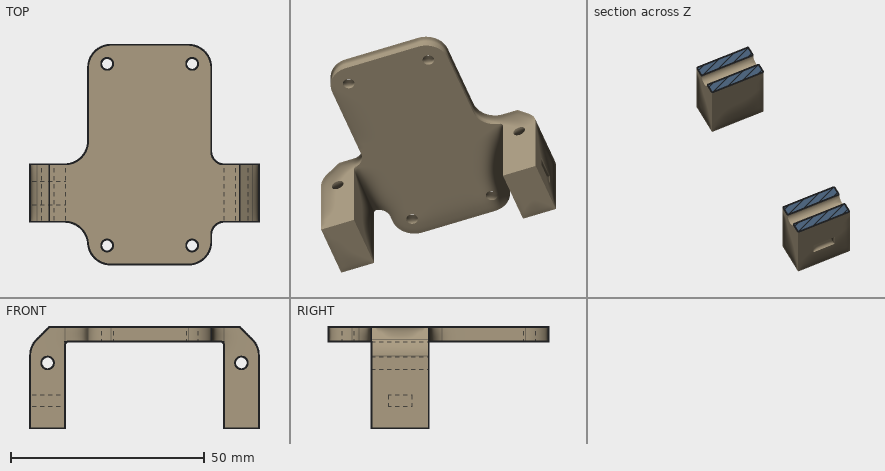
import cadquery as cq
import math

width = 59.3
length = 57.0
height = 26.25
plate_thickness = 3.8

plate_left = -14.65
plate_right = 17.3
corner_radius = 6.0
left_fillet_radius = 6.0
right_fillet_radius = 3.25

mount_hole_diameter = 3.0
mount_hole_inset = 5.0

leg_thickness = 9.1
arm_front = 11.1
arm_depth = 14.95
shoulder_inset = 5.0
shoulder_radius = 5.95
inner_fillet_radius = 0.95

pin_hole_diameter = 3.2
pin_hole_inset = 4.55
pin_hole_drop = 9.3
window_width = 6.05
window_height = 2.95
window_bottom = 5.7

half_width = width / 2
arm_back = arm_front + arm_depth
arm_middle = arm_front + arm_depth / 2
plate_bottom = height - plate_thickness


def make_bridge():
    """Two legs joined by a flat arm, with sloped and rounded outer shoulders."""
    slope_angle = math.radians(45)
    arc_rise = shoulder_radius * math.sin(slope_angle)
    arc_run = shoulder_radius - arc_rise
    slope_drop = shoulder_inset - arc_run
    arc_top = height - slope_drop
    arc_bottom = arc_top - arc_rise
    half_angle = slope_angle / 2
    arc_mid_x = half_width - shoulder_radius * (1 - math.cos(half_angle))
    arc_mid_z = arc_bottom + shoulder_radius * math.sin(half_angle)
    inner_x = half_width - leg_thickness

    profile = (
        cq.Workplane("XZ", origin=(0, arm_back, 0))
        .moveTo(-half_width, 0)
        .lineTo(-half_width, arc_bottom)
        .threePointArc((-arc_mid_x, arc_mid_z), (arc_run - half_width, arc_top))
        .lineTo(shoulder_inset - half_width, height)
        .lineTo(half_width - shoulder_inset, height)
        .lineTo(half_width - arc_run, arc_top)
        .threePointArc((arc_mid_x, arc_mid_z), (half_width, arc_bottom))
        .lineTo(half_width, 0)
        .lineTo(inner_x, 0)
        .lineTo(inner_x, plate_bottom)
        .lineTo(-inner_x, plate_bottom)
        .lineTo(-inner_x, 0)
        .close()
    )
    bridge = profile.extrude(arm_depth)
    margin = 0.6
    inner_corners = cq.selectors.BoxSelector(
        (-inner_x - margin, arm_front - margin, plate_bottom - margin),
        (inner_x + margin, arm_back + margin, plate_bottom + margin),
    )
    return bridge.edges("|Y").edges(inner_corners).fillet(inner_fillet_radius)


def arc_point(center, radius, degrees):
    """Point on a circle at an angle measured from +X."""
    angle = math.radians(degrees)
    return (center[0] + radius * math.cos(angle), center[1] + radius * math.sin(angle))


def add_arc(outline, center, radius, start, end):
    """Continue an outline to the start angle of an arc, then along the arc to its end angle."""
    return outline.lineTo(*arc_point(center, radius, start)).threePointArc(
        arc_point(center, radius, (start + end) / 2),
        arc_point(center, radius, end),
    )


def make_plate():
    """Plate with rounded corners and concave fillets where it meets the arms."""
    back_y = length - corner_radius
    right_corner_x = plate_right - corner_radius
    right_fillet_x = plate_right + right_fillet_radius
    left_fillet_x = plate_left - left_fillet_radius
    left_fillet_y = arm_front - left_fillet_radius

    center_distance = left_fillet_radius + corner_radius
    s_curve_tilt = math.degrees(math.asin((corner_radius - left_fillet_y) / center_distance))
    s_curve_run = center_distance * math.cos(math.radians(s_curve_tilt))
    front_left_center = (left_fillet_x + s_curve_run, corner_radius)
    left_fillet_front = (left_fillet_x, left_fillet_y)
    left_fillet_back = (left_fillet_x, arm_back + left_fillet_radius)
    right_fillet_front = (right_fillet_x, arm_front - right_fillet_radius)
    right_fillet_back = (right_fillet_x, arm_back + right_fillet_radius)

    outline = cq.Workplane("XY", origin=(0, 0, plate_bottom)).moveTo(front_left_center[0], 0)
    outline = add_arc(outline, (right_corner_x, corner_radius), corner_radius, -90, 0)
    outline = add_arc(outline, right_fillet_front, right_fillet_radius, 180, 90)
    outline = add_arc(outline, right_fillet_back, right_fillet_radius, 270, 180)
    outline = add_arc(outline, (right_corner_x, back_y), corner_radius, 0, 90)
    outline = add_arc(outline, (plate_left + corner_radius, back_y), corner_radius, 90, 180)
    outline = add_arc(outline, left_fillet_back, left_fillet_radius, 0, -90)
    outline = outline.lineTo(left_fillet_x, arm_front)
    outline = outline.threePointArc(
        arc_point(left_fillet_front, left_fillet_radius, (90 + s_curve_tilt) / 2),
        arc_point(left_fillet_front, left_fillet_radius, s_curve_tilt),
    )
    outline = outline.threePointArc(
        arc_point(front_left_center, corner_radius, (180 + s_curve_tilt + 270) / 2),
        (front_left_center[0], 0),
    )
    return outline.close().extrude(plate_thickness)


result = make_bridge().union(make_plate())

mount_points = [
    (x, y)
    for x in (plate_left + mount_hole_inset, plate_right - mount_hole_inset)
    for y in (mount_hole_inset, length - mount_hole_inset)
]
mount_holes = (
    cq.Workplane("XY", origin=(0, 0, plate_bottom))
    .pushPoints(mount_points)
    .circle(mount_hole_diameter / 2)
    .extrude(plate_thickness)
)
result = result.cut(mount_holes)

pin_x = half_width - pin_hole_inset
pin_holes = (
    cq.Workplane("XZ", origin=(0, arm_back, 0))
    .pushPoints([(-pin_x, height - pin_hole_drop), (pin_x, height - pin_hole_drop)])
    .circle(pin_hole_diameter / 2)
    .extrude(arm_depth)
)
result = result.cut(pin_holes)

window = cq.Workplane("XY").box(leg_thickness, window_width, window_height).translate(
    (leg_thickness / 2 - half_width, arm_middle, window_bottom + window_height / 2)
)
result = result.cut(window)